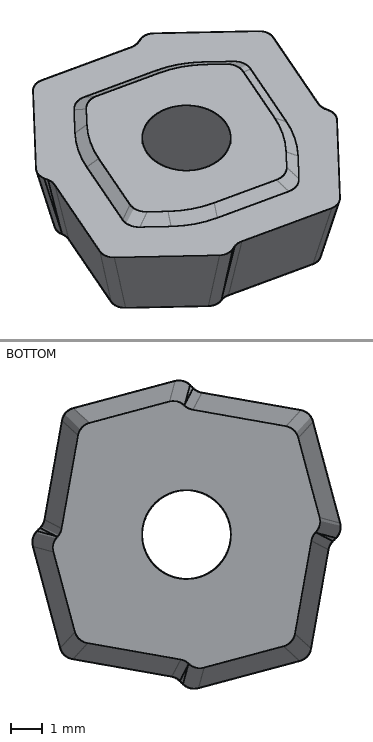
import cadquery as cq
import math

total_height = 3.3
boss_height = 0.29
body_height = total_height - boss_height
hole_diameter = 2.8
quarter_turns = 4

long_side_angle = 75
long_side_distance = 4.78
step_angle = 135
step_distance = 3.42
short_side_angle = 100
short_side_distance = 4.5
body_corner_radius = 0.5
relief_angle = 11

boss_long_distance = 3.51
boss_short_distance = 3.25
boss_bend_radius = 3.48
boss_corner_radius = 0.58
boss_slope_inset = 0.38


def unit(angle):
    return cq.Vector(math.cos(math.radians(angle)), math.sin(math.radians(angle)))


def crossing(first, second):
    """Point where two sides, each an (angle, distance) pair, cross."""
    n1, d1 = unit(first[0]), first[1]
    n2, d2 = unit(second[0]), second[1]
    determinant = n1.x * n2.y - n1.y * n2.x
    return cq.Vector((d1 * n2.y - d2 * n1.y) / determinant, (n1.x * d2 - n2.x * d1) / determinant)


def rounded_outline(quarter, inset, z):
    """Closed wire of straight sides joined by arcs, repeated around the axis.

    Each entry of quarter is (facing angle, distance from axis, radius of the corner after it).
    """
    sides = [
        (angle + 360 / quarter_turns * turn, distance - inset, radius)
        for turn in range(quarter_turns)
        for angle, distance, radius in quarter
    ]
    arcs = []
    for side, following in zip(sides, sides[1:] + sides[:1]):
        turn_angle = (following[0] - side[0] + 180) % 360 - 180
        radius = math.copysign(side[2], turn_angle)
        centre = crossing((side[0], side[1] - radius), (following[0], following[1] - radius))
        arc_angles = (side[0], side[0] + turn_angle / 2, following[0])
        arcs.append([centre + unit(angle) * radius + cq.Vector(0, 0, z) for angle in arc_angles])

    edges = []
    for arc, following_arc in zip(arcs, arcs[1:] + arcs[:1]):
        edges.append(cq.Edge.makeThreePointArc(*arc))
        edges.append(cq.Edge.makeLine(arc[-1], following_arc[0]))
    return cq.Wire.assembleEdges(edges)


def make_body():
    """Indexable body that narrows downwards by the relief angle."""
    quarter = [
        (long_side_angle, long_side_distance, body_corner_radius),
        (step_angle, step_distance, body_corner_radius),
        (short_side_angle, short_side_distance, body_corner_radius),
    ]
    relief_inset = body_height * math.tan(math.radians(relief_angle))
    bottom = rounded_outline(quarter, relief_inset, 0)
    top = rounded_outline(quarter, 0, body_height)
    return cq.Workplane(cq.Solid.makeLoft([bottom, top], True))


def make_boss():
    """Low raised boss with sloping sides."""
    quarter = [
        (long_side_angle, boss_long_distance, boss_bend_radius),
        (short_side_angle, boss_short_distance, boss_corner_radius),
    ]
    foot = rounded_outline(quarter, 0, body_height)
    top = rounded_outline(quarter, boss_slope_inset, total_height)
    return cq.Workplane(cq.Solid.makeLoft([foot, top], True))


def make_hole():
    return cq.Workplane("XY").circle(hole_diameter / 2).extrude(total_height)


result = make_body().union(make_boss()).cut(make_hole())